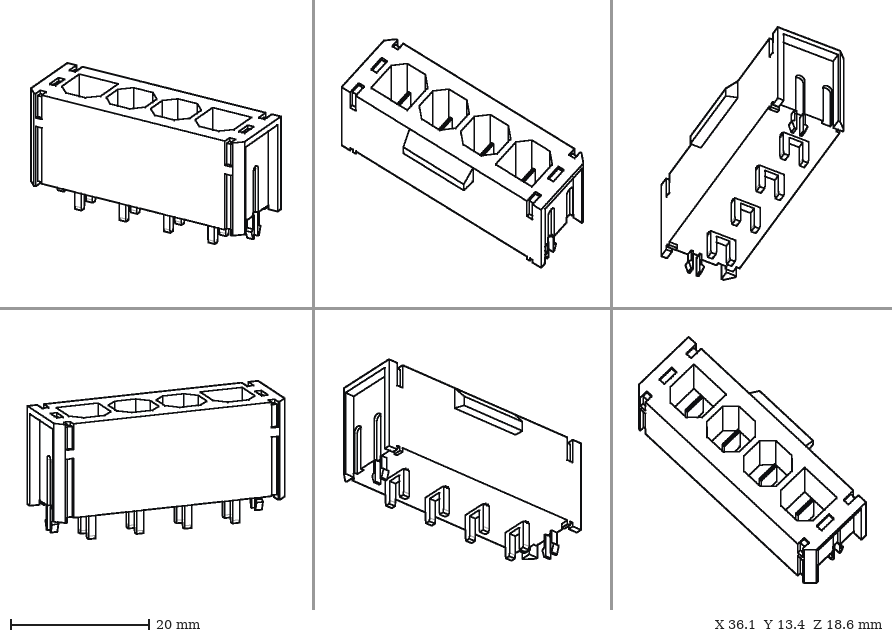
import cadquery as cq


LENGTH = 36.07
DEPTH = 11.5
TOP = 14.8
STANDOFF = 0.65
CORNER_BEVEL = 1.25

FLANGE = 1.55
RECESS_REAR_RIM = 0.97
RECESS_FRONT_RIM = 1.62
RECESS_TOP_RIM = 0.97

SLOT_WIDTH = 1.0
SLOT_DEPTH = 0.55
FRONT_SLOT_RUN = 1.35
REAR_SLOT_RUN = 2.05
MID_SLOT_FRONT = 3.9
MID_SLOT_REAR = 6.45
UPPER_SLOT_BOTTOM = 10.93
LOWER_SLOT_TOP = 9.55

ARCH_CENTERS = (2.52, 7.0)
ARCH_WIDTH = 1.45
ARCH_TOP = 8.25
ARCH_DEPTH = 0.5

CIRCUITS = 4
PITCH = 7.5
CIRCUIT_Y = 5.77
CAVITY_SIZE = 6.55
CAVITY_BEVEL = CAVITY_SIZE / 4
CAVITY_FLOOR = 3.95

LATCH_REACH = 1.88
LATCH_ROOT_WIDTH = 11.47
LATCH_TIP_WIDTH = 10.93
LATCH_RAMP_DROP = 2.25
LATCH_TIP_DROP = 3.8
LATCH_ROOT_DROP = 3.45

PEG_Y = 7.07
PRONG_GAP = 1.1
PRONG_THICKNESS = 0.32
BARB_REACH = 0.45
BARB_TOP = -1.45
BARB_TIP = -1.75
PRONG_BOTTOM = -3.05

FOOT_FRONT = 10.2

BLADE_THICKNESS = 0.45
BLADE_WIDTH = 3.25
BLADE_TOP = 11.0
BLADE_TIP_HEIGHT = 0.2
BLADE_SIDE_BEVEL = 0.1
BLADE_EDGE_BEVEL = 0.2

LEG_X = 1.1
LEG_Y = 0.97
LEG_CENTERS = (3.65, 6.78)
LEG_BOTTOM = -3.8
LEG_TIP_HEIGHT = 0.55
LEG_TIP_BEVEL = 0.1

END_X = LENGTH / 2
RECESS_X = END_X - FLANGE
SLOT_INNER_X = RECESS_X - SLOT_WIDTH
ARCH_FLOOR_X = RECESS_X - ARCH_DEPTH
circuit_xs = [(i - (CIRCUITS - 1) / 2) * PITCH for i in range(CIRCUITS)]


def block(x0, x1, y0, y1, z0, z1):
    """Box between two opposite corners."""
    return cq.Workplane("XY").box(x1 - x0, y1 - y0, z1 - z0, centered=False).translate((x0, y0, z0))


def make_shell():
    """Bevelled block with the underside raised between the end flanges."""
    shell = block(-END_X, END_X, 0, DEPTH, 0, TOP)
    shell = shell.faces("<Y").edges("|Z").chamfer(CORNER_BEVEL)
    return shell.cut(block(-RECESS_X, RECESS_X, 0, DEPTH, 0, STANDOFF))


def end_recess():
    return block(RECESS_X, END_X, RECESS_FRONT_RIM, DEPTH - RECESS_REAR_RIM, 0, TOP - RECESS_TOP_RIM)


def guide_slots():
    """Slots that wrap over the front and rear top edges, one on top and one low on the front."""
    def slot(y0, y1, z0, z1):
        return block(SLOT_INNER_X, RECESS_X, y0, y1, z0, z1)

    top_floor = TOP - SLOT_DEPTH
    slots = slot(0, FRONT_SLOT_RUN, top_floor, TOP)
    slots = slots.union(slot(0, SLOT_DEPTH, UPPER_SLOT_BOTTOM, TOP))
    slots = slots.union(slot(DEPTH - REAR_SLOT_RUN, DEPTH, top_floor, TOP))
    slots = slots.union(slot(DEPTH - SLOT_DEPTH, DEPTH, UPPER_SLOT_BOTTOM, TOP))
    slots = slots.add(slot(MID_SLOT_FRONT, MID_SLOT_REAR, top_floor, TOP))
    return slots.add(slot(0, SLOT_DEPTH, STANDOFF, LOWER_SLOT_TOP))


def arch_groove(center_y):
    """Round-topped groove in the recess floor, open at the underside."""
    radius = ARCH_WIDTH / 2
    return (
        cq.Workplane("YZ", origin=(ARCH_FLOOR_X, center_y, 0))
        .moveTo(-radius, STANDOFF)
        .lineTo(-radius, ARCH_TOP - radius)
        .threePointArc((0, ARCH_TOP), (radius, ARCH_TOP - radius))
        .lineTo(radius, STANDOFF)
        .close()
        .extrude(ARCH_DEPTH)
    )


def cavity(center_x, is_end):
    """Contact cavity: octagonal, or with square rear corners for the end circuits."""
    well = cq.Workplane("XY", origin=(center_x, CIRCUIT_Y, CAVITY_FLOOR))
    well = well.rect(CAVITY_SIZE, CAVITY_SIZE).extrude(TOP - CAVITY_FLOOR)
    bevelled = well.faces("<Y") if is_end else well
    return bevelled.edges("|Z").chamfer(CAVITY_BEVEL)


def make_latch():
    """Ramped catch on the rear face that narrows towards its tip."""
    tip_y = DEPTH + LATCH_REACH
    profile = [
        (DEPTH, TOP),
        (tip_y, TOP - LATCH_RAMP_DROP),
        (tip_y, TOP - LATCH_TIP_DROP),
        (DEPTH, TOP - LATCH_ROOT_DROP),
    ]
    plan = [
        (-LATCH_ROOT_WIDTH / 2, DEPTH),
        (-LATCH_TIP_WIDTH / 2, tip_y),
        (LATCH_TIP_WIDTH / 2, tip_y),
        (LATCH_ROOT_WIDTH / 2, DEPTH),
    ]
    ramp = cq.Workplane("YZ").polyline(profile).close().extrude(LATCH_ROOT_WIDTH / 2, both=True)
    return ramp.intersect(cq.Workplane("XY").polyline(plan).close().extrude(TOP))


def make_prong(side):
    """One barbed prong; side is +1 for the rear prong and -1 for the front one."""
    inner = PRONG_GAP / 2
    outer = inner + PRONG_THICKNESS
    outline = [
        (inner, STANDOFF),
        (outer, STANDOFF),
        (outer, BARB_TOP),
        (outer + BARB_REACH, BARB_TIP),
        (outer, PRONG_BOTTOM),
        (inner, PRONG_BOTTOM),
    ]
    points = [(PEG_Y + side * y, z) for y, z in outline]
    return cq.Workplane("YZ", origin=(SLOT_INNER_X, 0, 0)).polyline(points).close().extrude(SLOT_WIDTH)


def make_foot():
    return block(SLOT_INNER_X, ARCH_FLOOR_X, FOOT_FRONT, DEPTH, 0, STANDOFF)


def blade_body(center_x):
    """Flat contact blade with a tip bevelled on all four sides."""
    shaft_height = BLADE_TOP - BLADE_TIP_HEIGHT - STANDOFF
    shaft = cq.Workplane("XY", origin=(center_x, CIRCUIT_Y, STANDOFF))
    shaft = shaft.rect(BLADE_THICKNESS, BLADE_WIDTH).extrude(shaft_height)
    return (
        shaft.faces(">Z").workplane()
        .rect(BLADE_THICKNESS, BLADE_WIDTH)
        .workplane(offset=BLADE_TIP_HEIGHT)
        .rect(BLADE_THICKNESS - 2 * BLADE_SIDE_BEVEL, BLADE_WIDTH - 2 * BLADE_EDGE_BEVEL)
        .loft(combine=True)
    )


def solder_tail(center_x):
    """Two legs with tapered tips, joined by a bar under the housing."""
    half = LEG_Y / 2
    front, rear = LEG_CENTERS
    tail = block(center_x - LEG_X / 2, center_x + LEG_X / 2, front - half, rear + half, 0, STANDOFF)
    leg_outline = [
        (-half, STANDOFF),
        (-half, LEG_BOTTOM + LEG_TIP_HEIGHT),
        (-half + LEG_TIP_BEVEL, LEG_BOTTOM),
        (half - LEG_TIP_BEVEL, LEG_BOTTOM),
        (half, LEG_BOTTOM + LEG_TIP_HEIGHT),
        (half, STANDOFF),
    ]
    for leg_y in LEG_CENTERS:
        leg = cq.Workplane("YZ", origin=(center_x, leg_y, 0)).polyline(leg_outline).close()
        tail = tail.union(leg.extrude(LEG_X / 2, both=True))
    return tail


def make_housing(blades):
    """Housing with its end details, cavities, latch, pegs and a slot for every blade."""
    body = make_shell().union(make_latch())
    end_cuts = [end_recess(), guide_slots()] + [arch_groove(y) for y in ARCH_CENTERS]
    for cutter in end_cuts:
        body = body.cut(cutter).cut(cutter.mirror("YZ"))
    for addition in (make_prong(1), make_prong(-1), make_foot()):
        body = body.union(addition).union(addition.mirror("YZ"))
    for x in circuit_xs:
        body = body.cut(cavity(x, is_end=x in (circuit_xs[0], circuit_xs[-1])))
    for blade in blades:
        body = body.cut(blade)
    return body


contact_blades = [blade_body(x) for x in circuit_xs]
solder_tails = [solder_tail(x) for x in circuit_xs]
housing = make_housing(contact_blades)

result = cq.Compound.makeCompound([
    housing.val(),
    *[blade.val() for blade in contact_blades],
    *[tail.val() for tail in solder_tails],
])